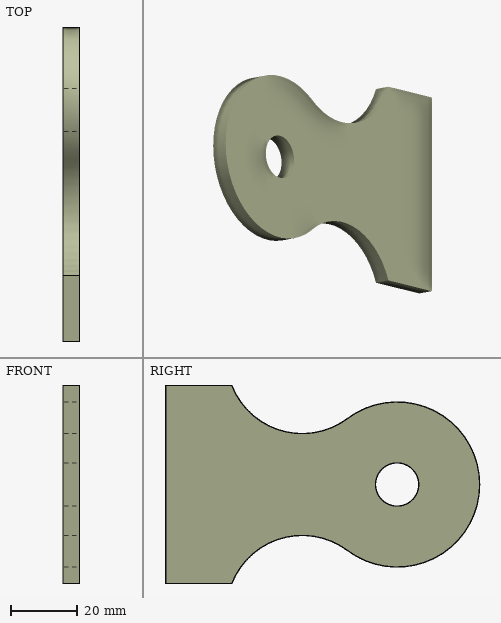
import cadquery as cq
import math

thickness = 5.0
base_height = 60.0
base_length = 20.0
eye_distance = 70.0
eye_radius = 25.0
hole_diameter = 13.0
blend_offset = 15.0

half_height = base_height / 2

blend_y = eye_distance - blend_offset
blend_z = math.sqrt(eye_radius**2 - blend_offset**2)
normal_y = -blend_offset / eye_radius
normal_z = blend_z / eye_radius

chord_y = base_length - blend_y
chord_z = half_height - blend_z
neck_radius = (chord_y**2 + chord_z**2) / (2 * (chord_y * normal_y + chord_z * normal_z))

neck_y = blend_y + neck_radius * normal_y
neck_half_height = blend_z + neck_radius * normal_z - neck_radius


def make_plate():
    """Flat plate: rectangular base, necked middle and round eye."""
    return (
        cq.Workplane("YZ")
        .moveTo(0, -half_height)
        .lineTo(base_length, -half_height)
        .threePointArc((neck_y, -neck_half_height), (blend_y, -blend_z))
        .threePointArc((eye_distance + eye_radius, 0), (blend_y, blend_z))
        .threePointArc((neck_y, neck_half_height), (base_length, half_height))
        .lineTo(0, half_height)
        .close()
        .extrude(thickness)
    )


def make_eye_hole():
    """Cylinder through the full thickness at the eye centre."""
    return (
        cq.Workplane("YZ")
        .center(eye_distance, 0)
        .circle(hole_diameter / 2)
        .extrude(thickness)
    )


result = make_plate().cut(make_eye_hole())